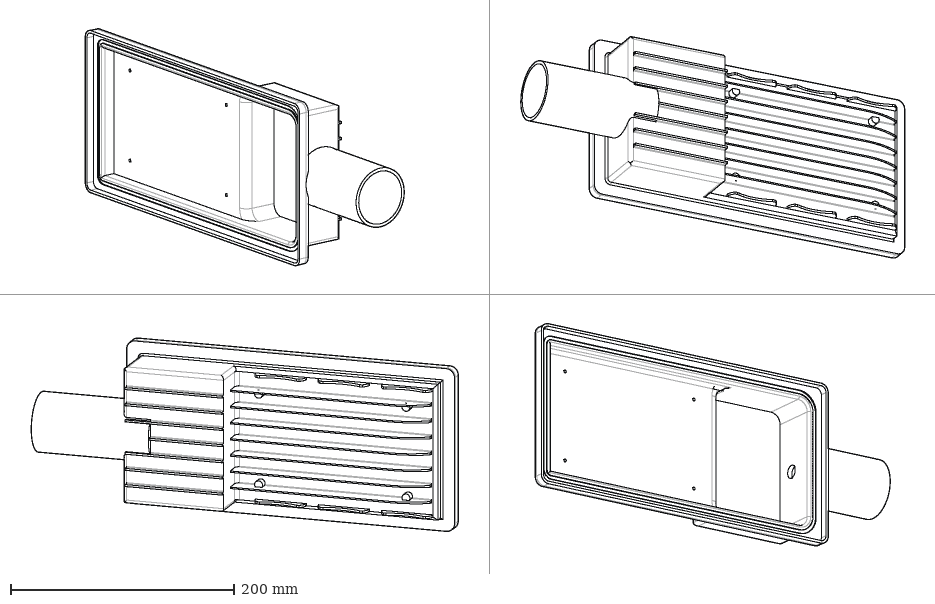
import cadquery as cq
import math


FLANGE_LENGTH = 311.0
FLANGE_WIDTH = 151.52
FLANGE_BACK = 10.0
FLANGE_CORNER = 8.0
LIP_WALL = 2.5
LIP_DRAFT = 1.5
SHELF = FLANGE_BACK - LIP_WALL

WALL = 3.5
BODY_INSET = 12.7
PLATE_BACK = 23.0
PLATE_FLOOR = 20.0
EDGE = 3.5
FOOT_CHAMFER = 1.8
BODY_LEFT = BODY_INSET
BODY_RIGHT = FLANGE_LENGTH - BODY_INSET
BODY_WIDTH = FLANGE_WIDTH - 2 * BODY_INSET

BOX_LEFT = 203.0
BOX_BACK = 56.5
BOX_FLOOR = BOX_BACK - WALL

CAVITY_INSET = BODY_INSET + WALL
CAVITY_LEFT = CAVITY_INSET
CAVITY_RIGHT = FLANGE_LENGTH - CAVITY_INSET
CAVITY_WIDTH = FLANGE_WIDTH - 2 * CAVITY_INSET
CAVITY_CORNER = 10.0
MOUTH_FILLET = 2.3
GROOVE_INNER = 4.7
GROOVE_OUTER = 8.1
GROOVE_DEPTH = 1.2
STEP_ROUND = 8.0
FLOOR_FILLET = 3.5

FIN_COUNT = 7
FIN_PITCH = 15.0
FIN_THICKNESS = 2.0
FIN_DRAFT = 1.5
FIN_ROOT = 0.6
PLATE_FIN_TOP = 37.7
PLATE_FIN_START = 17.5
PLATE_FIN_ARC = 65.0
PLATE_FIN_ARC_END = 52.0
BOX_FIN_TOP = 60.7

CREST_CENTRES = [40.3, 100.3, 160.3]
CREST_HALF_BASE = 24.2
CREST_SHOULDER = (22.8, 27.8)
CREST_HALF_TOP = 20.0
CREST_HALF_DIP = 17.5
CREST_TOP = 31.0
CREST_DIP = 27.5

BOSS_X = (39.4, 179.0)
BOSS_Z = 42.1
BOSS_DIAMETER = 7.5
BOSS_BACK = 30.0
SCREW_DIAMETER = 2.5
SCREW_DEPTH = 8.0

TUBE_DIAMETER = 55.0
TUBE_WALL = 3.0
TUBE_START = 272.3
TUBE_END = 383.26
TOTAL_HEIGHT = 62.5
TUBE_Y = TOTAL_HEIGHT - TUBE_DIAMETER / 2
CABLE_HOLE_DEPTH = 4.5
BORE_START = CAVITY_RIGHT + CABLE_HOLE_DEPTH
CABLE_HOLE = 12.0

OVERLAP = 1.0


def block(x0, x1, y0, y1, width):
    """Box spanning X x0..x1 and Y y0..y1, centred on Z = 0."""
    box = cq.Workplane("XY").box(x1 - x0, y1 - y0, width, centered=(False, False, True))
    return box.translate((x0, y0, 0))


def cavity_offset(offset, y0, y1):
    """Prism of the cavity outline grown by offset; square on the left, rounded on the right."""
    prism = block(CAVITY_LEFT - offset, CAVITY_RIGHT + offset, y0, y1, CAVITY_WIDTH + 2 * offset)
    if offset > 0:
        prism = prism.edges("|Y and <X").fillet(offset)
    return prism.edges("|Y and >X").fillet(CAVITY_CORNER + offset)


def flange():
    """Flange plate on a lip whose outside narrows slightly towards the plate."""
    shrink = SHELF * math.tan(math.radians(LIP_DRAFT))
    plate = block(shrink, FLANGE_LENGTH - shrink, SHELF, FLANGE_BACK, FLANGE_WIDTH - 2 * shrink)
    plate = plate.edges("|Y").fillet(FLANGE_CORNER - shrink)
    lip = (
        cq.Workplane("XZ")
        .sketch()
        .rect(FLANGE_LENGTH, FLANGE_WIDTH)
        .vertices()
        .fillet(FLANGE_CORNER)
        .finalize()
        .extrude(-SHELF, taper=LIP_DRAFT)
        .translate((FLANGE_LENGTH / 2, 0, 0))
    )
    return plate.union(lip)


def lip_recess():
    recess = block(LIP_WALL, FLANGE_LENGTH - LIP_WALL, 0, SHELF, FLANGE_WIDTH - 2 * LIP_WALL)
    return recess.edges("|Y").fillet(FLANGE_CORNER - LIP_WALL)


def groove():
    bottom = SHELF + GROOVE_DEPTH
    return cavity_offset(GROOVE_OUTER, SHELF, bottom).cut(cavity_offset(GROOVE_INNER, SHELF, bottom))


def lamp_plate():
    plate = block(BODY_LEFT, BOX_LEFT + WALL, SHELF, PLATE_BACK, BODY_WIDTH)
    return plate.faces(">Y").edges("<X or <Z or >Z").chamfer(EDGE)


def driver_box():
    """Driver box with rounded corners and rear edges; its left rear edge stays sharp."""
    box = block(BOX_LEFT, BODY_RIGHT, SHELF, BOX_BACK, BODY_WIDTH)
    rounded = box.edges("|Y").fillet(EDGE)
    rounded = rounded.intersect(box.edges("|X and >Y").fillet(EDGE))
    return rounded.intersect(box.edges("|Z and >X and >Y").fillet(EDGE))


def box_root_fillet():
    """Concave fillet between the lamp plate's rear face and the driver box."""
    rear = PLATE_BACK + EDGE
    width = BODY_WIDTH - 2 * EDGE
    strip = block(BOX_LEFT - EDGE, BOX_LEFT + EDGE, PLATE_BACK - OVERLAP, rear, width)
    round_off = (
        cq.Workplane("XY")
        .center(BOX_LEFT - EDGE, rear)
        .circle(EDGE)
        .extrude(BODY_WIDTH, both=True)
    )
    return strip.cut(round_off)


def body_foot():
    """Chamfered flare where the body walls stand on the flange."""
    foot = block(
        BODY_LEFT - FOOT_CHAMFER,
        BODY_RIGHT + FOOT_CHAMFER,
        SHELF,
        FLANGE_BACK + FOOT_CHAMFER,
        BODY_WIDTH + 2 * FOOT_CHAMFER,
    )
    foot = foot.edges("|Y and >X").fillet(EDGE + FOOT_CHAMFER)
    return foot.faces(">Y").chamfer(FOOT_CHAMFER)


def fin_bars(length_start, length_end, base, top):
    """Row of fins with root fillets, running along X from base to top."""
    half = FIN_THICKNESS / 2
    tip_half = half - (top - base - FIN_ROOT) * math.tan(math.radians(FIN_DRAFT))
    blend = FIN_ROOT * (1 - math.sqrt(0.5))
    section = (
        cq.Workplane("YZ")
        .moveTo(base - OVERLAP, half + FIN_ROOT)
        .lineTo(base, half + FIN_ROOT)
        .threePointArc((base + blend, half + blend), (base + FIN_ROOT, half))
        .lineTo(top, tip_half)
        .lineTo(top, -tip_half)
        .lineTo(base + FIN_ROOT, -half)
        .threePointArc((base + blend, -half - blend), (base, -half - FIN_ROOT))
        .lineTo(base - OVERLAP, -half - FIN_ROOT)
        .close()
        .extrude(length_end - length_start)
        .translate((length_start, 0, 0))
    )
    bars = cq.Workplane("XY")
    for i in range(FIN_COUNT):
        z = (i - (FIN_COUNT - 1) / 2) * FIN_PITCH
        bars = bars.add(section.translate((0, 0, z)))
    return bars.combine()


def nose_y(x):
    """Height of the arched fin nose at x."""
    drop = PLATE_FIN_ARC - math.sqrt(PLATE_FIN_ARC**2 - (PLATE_FIN_ARC_END - x) ** 2)
    return PLATE_FIN_TOP - drop


def plate_fins():
    """Fins on the lamp plate, cut to a side profile with an arched nose."""
    middle = (PLATE_FIN_START + PLATE_FIN_ARC_END) / 2
    end = BOX_LEFT + OVERLAP
    profile = (
        cq.Workplane("XY")
        .moveTo(PLATE_FIN_START, PLATE_BACK - OVERLAP)
        .lineTo(PLATE_FIN_START, nose_y(PLATE_FIN_START))
        .threePointArc((middle, nose_y(middle)), (PLATE_FIN_ARC_END, PLATE_FIN_TOP))
        .lineTo(end, PLATE_FIN_TOP)
        .lineTo(end, PLATE_BACK - OVERLAP)
        .close()
        .extrude(BODY_WIDTH / 2, both=True)
    )
    return fin_bars(PLATE_FIN_START, end, PLATE_BACK, PLATE_FIN_TOP).intersect(profile)


def box_fins():
    return fin_bars(BOX_LEFT, BODY_RIGHT - EDGE, BOX_BACK, BOX_FIN_TOP)


def crests(side):
    """Three wavy-topped crests along one side edge of the lamp plate; side is +1 or -1."""
    outer_z = BODY_WIDTH / 2 - EDGE
    base = PLATE_BACK - OVERLAP
    shoulder_x, shoulder_y = CREST_SHOULDER
    crest = (
        cq.Workplane("XY")
        .moveTo(-CREST_HALF_BASE, base)
        .lineTo(-CREST_HALF_BASE, PLATE_BACK)
        .threePointArc((-shoulder_x, shoulder_y), (-CREST_HALF_TOP, CREST_TOP))
        .lineTo(-CREST_HALF_DIP, CREST_TOP)
        .threePointArc((0, CREST_DIP), (CREST_HALF_DIP, CREST_TOP))
        .lineTo(CREST_HALF_TOP, CREST_TOP)
        .threePointArc((shoulder_x, shoulder_y), (CREST_HALF_BASE, PLATE_BACK))
        .lineTo(CREST_HALF_BASE, base)
        .close()
        .extrude(FIN_THICKNESS)
        .translate((0, 0, outer_z - FIN_THICKNESS))
    )
    if side < 0:
        crest = crest.mirror("XY")
    row = cq.Workplane("XY")
    for centre in CREST_CENTRES:
        row = row.add(crest.translate((centre, 0, 0)))
    return row.combine()


def cylinder_x(diameter, x0, x1):
    """Cylinder along X on the pole socket's axis."""
    solid = cq.Solid.makeCylinder(diameter / 2, x1 - x0, cq.Vector(x0, TUBE_Y, 0), cq.Vector(1, 0, 0))
    return cq.Workplane("XY").add(solid)


def at_screws(diameter, y0, y1):
    """Cylinders along Y at the four lamp screw positions."""
    cylinders = cq.Workplane("XY")
    for x in BOSS_X:
        for z in (-BOSS_Z, BOSS_Z):
            solid = cq.Solid.makeCylinder(diameter / 2, y1 - y0, cq.Vector(x, y0, z), cq.Vector(0, 1, 0))
            cylinders = cylinders.add(solid)
    return cylinders.combine()


def rim_flare(opening, radius, y):
    """Opening widened by a convex rounding of the given radius where it breaks the plane Y = y."""
    size = opening.val().BoundingBox()
    margin = 2 * radius
    slab = block(size.xmin - margin, size.xmax + margin, y, y + margin, size.zlen + 2 * margin)
    plate = slab.cut(opening)
    rim = plate.faces("<Y").val().innerWires()[0]
    rounded_plate = plate.newObject(rim.Edges()).fillet(radius)
    return slab.cut(rounded_plate)


def mouth_flare():
    """Rounded mouth of the cavity at the shelf."""
    return rim_flare(cavity_offset(0, SHELF, PLATE_FLOOR), MOUTH_FILLET, SHELF)


def step_flare():
    """Rounded step from the lamp plate down into the driver box, kept within the cavity walls."""
    flare = rim_flare(box_pocket(), STEP_ROUND, PLATE_FLOOR)
    return flare.intersect(cavity_offset(0, SHELF, BOX_FLOOR))


def box_pocket():
    pocket = block(BOX_LEFT + WALL, CAVITY_RIGHT, SHELF, BOX_FLOOR, CAVITY_WIDTH)
    return pocket.edges("|Y").fillet(CAVITY_CORNER)


def lamp_pocket():
    pocket = block(CAVITY_LEFT, BOX_LEFT + WALL + CAVITY_CORNER, SHELF, PLATE_FLOOR, CAVITY_WIDTH)
    return pocket.edges(">Y and >Z").fillet(FLOOR_FILLET)


body = flange().union(body_foot()).union(lamp_plate()).union(driver_box()).union(box_root_fillet())
body = body.union(plate_fins()).union(box_fins()).union(crests(1)).union(crests(-1))
body = body.union(at_screws(BOSS_DIAMETER, PLATE_BACK - OVERLAP, BOSS_BACK))
body = body.union(cylinder_x(TUBE_DIAMETER, TUBE_START, TUBE_END))

body = body.cut(lip_recess()).cut(groove()).cut(lamp_pocket()).cut(box_pocket())
body = body.cut(step_flare()).cut(mouth_flare())
body = body.cut(at_screws(SCREW_DIAMETER, PLATE_FLOOR - OVERLAP, PLATE_FLOOR + SCREW_DEPTH))
body = body.cut(cylinder_x(TUBE_DIAMETER - 2 * TUBE_WALL, BORE_START, TUBE_END))
body = body.cut(cylinder_x(CABLE_HOLE, CAVITY_RIGHT - OVERLAP, BORE_START + OVERLAP))

result = body.solids()